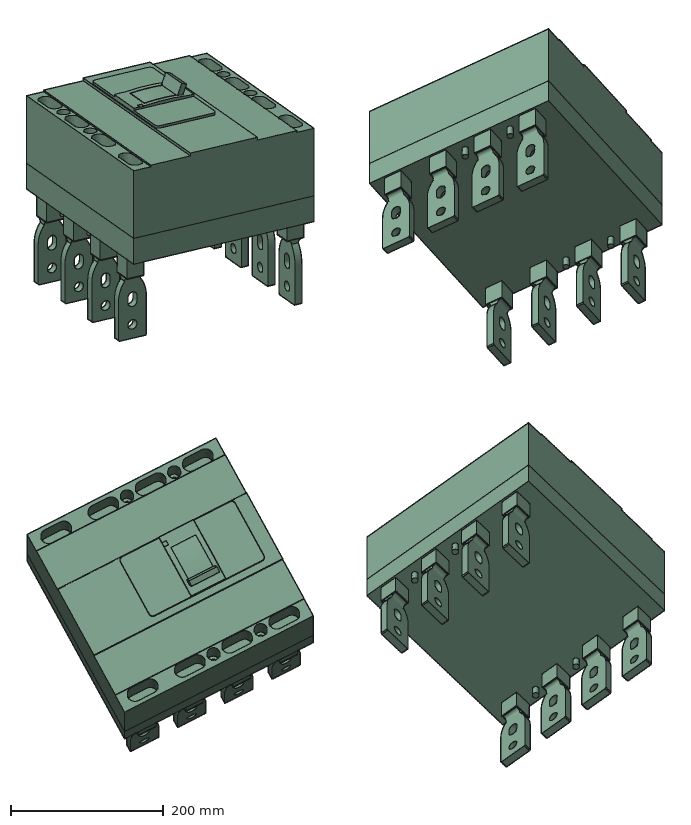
import cadquery as cq
import math


width = 280.0
depth = 273.2
pole_count = 4
pole_pitch = width / pole_count
terminal_y = 121.2
terminal_bottom_z = -121.2

base_height = 37.0
shoulder_z = 134.0
deck_z = 136.3
crown_z = 140.3
deck_half_depth = 110.6
crown_half_depth = 50.8

pocket_length = 42.8
pocket_width = 20.0
pocket_depth = 42.8

panel_length = 170.3
panel_depth = 90.7
panel_x = -34.8
panel_y = -4.3
panel_top_z = 143.7
panel_corner_radius = 5.5
strip_width = 51.3
strip_top_z = 147.0
bulge_half_depth = 32.0
bulge_height = 1.7
window_width = 36.8
window_half_depth = 29.7
window_recess = 0.5
indicator_size = 6.3
indicator_y = -37.6
indicator_depth = 0.5

lever_width = 41.5
lever_thickness = 8.0
lever_length = 20.0
lever_tilt = 22.0
lever_tip_y = 25.7
lever_tip_z = 164.0

post_size = 25.7
post_height = 30.5
neck_size = 23.7
neck_rim = 1.0
neck_radius = 5.0
blade_thickness = 10.5
blade_width = 42.2
blade_shoulder_height = 26.8
blade_corner = 1.5
bore_diameter = 13.5
bore_z = -101.2
slot_length = 20.8
slot_z = -65.0

screw_head_radius = 8.5
screw_flat_radius = 2.5
screw_shank_radius = 4.3
screw_bottom_z = -14.3

pole_xs = [(i - (pole_count - 1) / 2) * pole_pitch for i in range(pole_count)]
rows_y = (-terminal_y, terminal_y)
pocket_centres = [(x, y) for x in pole_xs for y in rows_y]
screw_centres = [(x, y) for x in (-pole_pitch, 0) for y in rows_y]
toggle_x = pole_xs[1]
pocket_floor_z = shoulder_z - pocket_depth
screw_seat_z = pocket_floor_z


def block(size_x, size_y, bottom_z, top_z, centre=(0, 0)):
    """Upright box given by its footprint and its two heights."""
    return (
        cq.Workplane("XY", origin=(centre[0], centre[1], bottom_z))
        .rect(size_x, size_y)
        .extrude(top_z - bottom_z)
    )


def make_terminal():
    """Square post, waisted neck and drilled blade; the blade lies in the YZ plane."""
    neck_top_z = -post_height
    neck_bottom_z = neck_top_z - neck_rim - neck_radius
    half_blade = blade_thickness / 2
    half_neck = neck_size / 2
    arc_dip = neck_radius * (1 - math.sqrt(0.5))

    post = block(post_size, post_size, neck_top_z, 0)

    neck = (
        cq.Workplane("XZ")
        .moveTo(-half_neck, neck_top_z)
        .lineTo(half_neck, neck_top_z)
        .lineTo(half_neck, neck_top_z - neck_rim)
        .lineTo(half_blade + neck_radius, neck_top_z - neck_rim)
        .threePointArc(
            (half_blade + arc_dip, neck_top_z - neck_rim - arc_dip),
            (half_blade, neck_bottom_z),
        )
        .lineTo(-half_blade, neck_bottom_z)
        .threePointArc(
            (-half_blade - arc_dip, neck_top_z - neck_rim - arc_dip),
            (-half_blade - neck_radius, neck_top_z - neck_rim),
        )
        .lineTo(-half_neck, neck_top_z - neck_rim)
        .close()
        .extrude(half_neck, both=True)
    )

    half_width = blade_width / 2
    flank_top_z = neck_bottom_z - blade_shoulder_height
    run = half_width - half_neck
    radius = (run**2 + blade_shoulder_height**2) / (2 * run)
    mid_angle = math.asin(blade_shoulder_height / radius) / 2
    mid_y = half_width - radius * (1 - math.cos(mid_angle))
    mid_z = flank_top_z + radius * math.sin(mid_angle)
    blade = (
        cq.Workplane("YZ")
        .moveTo(-half_neck, neck_bottom_z)
        .lineTo(half_neck, neck_bottom_z)
        .threePointArc((mid_y, mid_z), (half_width, flank_top_z))
        .lineTo(half_width, terminal_bottom_z)
        .lineTo(-half_width, terminal_bottom_z)
        .lineTo(-half_width, flank_top_z)
        .threePointArc((-mid_y, mid_z), (-half_neck, neck_bottom_z))
        .close()
        .extrude(half_blade, both=True)
        .edges("|X and <Z")
        .chamfer(blade_corner)
    )

    bore = (
        cq.Workplane("YZ")
        .center(0, bore_z)
        .circle(bore_diameter / 2)
        .extrude(blade_thickness, both=True)
    )
    slot = (
        cq.Workplane("YZ")
        .center(0, slot_z)
        .slot2D(slot_length, bore_diameter, 90)
        .extrude(blade_thickness, both=True)
    )
    return post.union(neck).union(blade.cut(bore).cut(slot))


def make_base():
    """Flat base with two rows of terminals; the rear row is turned a quarter turn."""
    base = block(width, depth, 0, base_height)
    front_terminal = make_terminal()
    rear_terminal = front_terminal.rotate((0, 0, 0), (0, 0, 1), 90)
    for x in pole_xs:
        base = base.union(front_terminal.translate((x, -terminal_y, 0)))
        base = base.union(rear_terminal.translate((x, terminal_y, 0)))
    shank_holes = (
        cq.Workplane("XY")
        .pushPoints(screw_centres)
        .circle(screw_shank_radius)
        .extrude(base_height)
    )
    return base.cut(shank_holes)


def bulge(size_x, half_depth, height):
    """Low cylindrical swelling that rises from the panel strip."""
    return (
        cq.Workplane("YZ", origin=(toggle_x, 0, strip_top_z))
        .moveTo(-half_depth, 0)
        .threePointArc((0, height), (half_depth, 0))
        .close()
        .extrude(size_x / 2, both=True)
    )


def make_panel():
    """Rounded plate, raised strip with bulge and window, and a small indicator recess."""
    plate = (
        block(panel_length, panel_depth, crown_z, panel_top_z, (panel_x, panel_y))
        .edges("|Z")
        .fillet(panel_corner_radius)
    )
    strip = block(strip_width, panel_depth, panel_top_z, strip_top_z, (toggle_x, panel_y))
    swelling = bulge(strip_width, bulge_half_depth, bulge_height)
    window = block(
        window_width,
        2 * window_half_depth,
        strip_top_z - window_recess,
        strip_top_z + bulge_height,
        (toggle_x, 0),
    )
    window_floor = bulge(window_width, bulge_half_depth, bulge_height).translate(
        (0, 0, -window_recess)
    )
    indicator_x = toggle_x + (strip_width - indicator_size) / 2
    indicator = block(
        indicator_size,
        indicator_size,
        strip_top_z - indicator_depth,
        strip_top_z,
        (indicator_x, indicator_y),
    )
    return plate.union(strip).union(swelling).cut(window.cut(window_floor)).cut(indicator)


def make_lever():
    """Flat toggle lever leaning towards +Y, its root sunk in the panel strip."""
    return (
        cq.Workplane("YZ", origin=(toggle_x, lever_tip_y, lever_tip_z))
        .rect(lever_thickness, -lever_length, centered=False)
        .extrude(lever_width / 2, both=True)
        .rotate(
            (toggle_x, lever_tip_y, lever_tip_z),
            (toggle_x + 2.9, lever_tip_y, lever_tip_z),
            -lever_tilt,
        )
    )


def make_cover():
    """Stepped cover with panel and lever, access pockets and screw holes."""
    cover = block(width, depth, base_height, shoulder_z)
    cover = cover.union(block(width, 2 * deck_half_depth, shoulder_z, deck_z))
    cover = cover.union(block(width, 2 * crown_half_depth, deck_z, crown_z))
    cover = cover.union(make_panel()).union(make_lever())
    pockets = (
        cq.Workplane("XY", origin=(0, 0, pocket_floor_z))
        .pushPoints(pocket_centres)
        .slot2D(pocket_length, pocket_width)
        .extrude(pocket_depth)
    )
    head_holes = (
        cq.Workplane("XY", origin=(0, 0, screw_seat_z))
        .pushPoints(screw_centres)
        .circle(screw_head_radius)
        .extrude(shoulder_z - screw_seat_z)
    )
    shank_holes = (
        cq.Workplane("XY", origin=(0, 0, base_height))
        .pushPoints(screw_centres)
        .circle(screw_shank_radius)
        .extrude(screw_seat_z - base_height)
    )
    return cover.cut(pockets).cut(head_holes).cut(shank_holes)


def make_screw(x, y):
    """Domed head with a flat top, on a plain shank that passes through cover and base."""
    dome_height = math.sqrt(screw_head_radius**2 - screw_flat_radius**2)
    mid_angle = math.asin(dome_height / screw_head_radius) / 2
    dome_mid = (
        screw_head_radius * math.cos(mid_angle),
        screw_seat_z + screw_head_radius * math.sin(mid_angle),
    )
    return (
        cq.Workplane("XZ")
        .moveTo(0, screw_bottom_z)
        .lineTo(screw_shank_radius, screw_bottom_z)
        .lineTo(screw_shank_radius, screw_seat_z)
        .lineTo(screw_head_radius, screw_seat_z)
        .threePointArc(dome_mid, (screw_flat_radius, screw_seat_z + dome_height))
        .lineTo(0, screw_seat_z + dome_height)
        .close()
        .revolve(360, (0, 0, 0), (0, 1, 0))
        .translate((x, y, 0))
    )


base = make_base()
cover = make_cover()
screws = [make_screw(x, y) for x, y in screw_centres]

result = cq.Compound.makeCompound(
    [*base.solids().vals(), *cover.solids().vals(), *[screw.val() for screw in screws]]
)